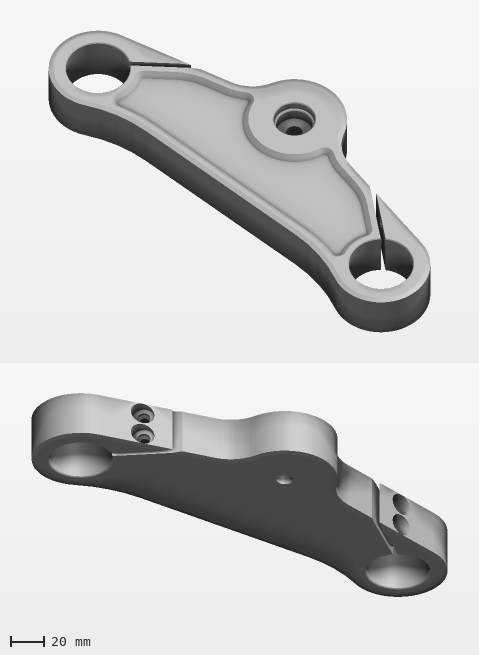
import cadquery as cq
import math

thickness = 30.0
top_z = thickness / 2
edge_bevel_width = 3.0
edge_bevel_height = 0.8

fork_x = 115.0
fork_radius = 30.0
fork_bore_radius = 19.5
bore_bevel = 0.5

stem_y = 49.5
boss_radius = 32.0
stem_hole_radius = 10.2 / 2
bearing_radius = 22.0 / 2
bearing_depth = 13.0
seat_radius = 25.2 / 2
seat_depth = 5.2

shoulder_angle = 12.9
shoulder_blend_radius = 26.7
bottom_y = -17.0
bottom_blend_radius = 91.4

slit_angle = 39.0
slit_width = 3.0
slit_offset = 4.4
slit_inner = slit_offset - slit_width / 2
slit_outer = slit_offset + slit_width / 2

screw_reach = 39.0
screw_z = 7.2
screw_clearance_radius = 8.0 / 2
screw_tap_radius = 6.7 / 2
screw_tap_depth = 20.3
screw_head_radius = 13.5 / 2
screw_seat_height = 1.7

pocket_depth = 3.0
pocket_wall_run = 3.62
pocket_rim = 5.5
pocket_boss_radius = 27.8
pocket_fork_radius = 23.2
pocket_slit_gap = 3.8
pocket_shoulder_radius = 43.5
pocket_corner_radius = 5.8

overshoot = 14.5


def unit(angle):
    """Unit vector at an angle in degrees."""
    return math.cos(math.radians(angle)), math.sin(math.radians(angle))


def along(start, direction, distance):
    """Point at a distance from start in a direction."""
    return start[0] + direction[0] * distance, start[1] + direction[1] * distance


def flip(point):
    """Mirror image of a point across the YZ plane."""
    return -point[0], point[1]


def both_sides(solid):
    """A left-hand solid joined with its mirror image."""
    return solid.union(solid.mirror("YZ"))


def disc(centre, radius, bottom, height):
    """Upright cylinder standing on Z = bottom."""
    return cq.Workplane("XY", origin=(*centre, bottom)).circle(radius).extrude(height)


def toward(start, end, distance):
    """Point at a distance from start on the way to end."""
    gap = math.dist(start, end)
    direction = ((end[0] - start[0]) / gap, (end[1] - start[1]) / gap)
    return along(start, direction, distance)


def arc_middle(centre, first, last, radius):
    """Middle point of the short arc between two points."""
    return toward(centre, ((first[0] + last[0]) / 2, (first[1] + last[1]) / 2), radius)


def outline_wire(inset=0.0):
    """Plate outline moved inwards by inset, every arc tangent to its neighbours."""
    fork_r = fork_radius - inset
    boss_r = boss_radius - inset
    shoulder_r = shoulder_blend_radius + inset
    bottom_r = bottom_blend_radius + inset
    normal = unit(shoulder_angle + 90)

    line_dir = unit(shoulder_angle)
    stem_along = fork_x * line_dir[0] + stem_y * line_dir[1]
    stem_above = fork_x * normal[0] + stem_y * normal[1]
    blend_above = fork_r + shoulder_r
    blend_along = stem_along - math.sqrt((boss_r + shoulder_r) ** 2 - (blend_above - stem_above) ** 2)
    shoulder_centre = along(along(fork, line_dir, blend_along), normal, blend_above)

    blend_y = bottom_y + inset - bottom_r
    bottom_centre = (math.sqrt((fork_r + bottom_r) ** 2 - blend_y ** 2) - fork_x, blend_y)

    bottom_end = (bottom_centre[0], bottom_y + inset)
    fork_low = toward(fork, bottom_centre, fork_r)
    bottom_mid = arc_middle(bottom_centre, bottom_end, fork_low, bottom_r)
    fork_mid = along(fork, unit(180), fork_r)
    fork_high = along(fork, normal, fork_r)
    shoulder_low = along(shoulder_centre, normal, -shoulder_r)
    shoulder_high = toward(shoulder_centre, stem, shoulder_r)
    shoulder_mid = arc_middle(shoulder_centre, shoulder_low, shoulder_high, shoulder_r)
    boss_top = (0, stem_y + boss_r)

    return (
        cq.Workplane("XY")
        .moveTo(*bottom_end)
        .threePointArc(bottom_mid, fork_low)
        .threePointArc(fork_mid, fork_high)
        .lineTo(*shoulder_low)
        .threePointArc(shoulder_mid, shoulder_high)
        .threePointArc(boss_top, flip(shoulder_high))
        .threePointArc(flip(shoulder_mid), flip(shoulder_low))
        .lineTo(*flip(fork_high))
        .threePointArc(flip(fork_mid), flip(fork_low))
        .threePointArc(flip(bottom_mid), flip(bottom_end))
        .close()
    )


def make_plate():
    """Solid plate with bevelled top and bottom edges."""
    plate = outline_wire().extrude(top_z, both=True)
    plate = plate.faces("<Z").chamfer(edge_bevel_height, edge_bevel_width)
    return plate.faces(">Z").chamfer(edge_bevel_height, edge_bevel_width)


def slit_band(near, far, length):
    """Block along the left slit, between two distances from the fork centre line."""
    return (
        cq.Workplane("XY")
        .center(length / 2, (near + far) / 2)
        .rect(length, far - near)
        .extrude(thickness, both=True)
        .rotate((0, 0, 0), (0, 0, 1), slit_angle)
        .translate((*fork, 0))
    )


def make_screw_hole(z):
    """Stepped clamp screw hole of the left fork, entered from the outer side of the slit."""
    seat = slit_outer + screw_seat_height
    axis = unit(slit_angle + 90)
    foot = along(fork, unit(slit_angle), screw_reach)

    def bore(radius, start, end):
        base = along(foot, axis, start)
        return cq.Workplane(cq.Solid.makeCylinder(
            radius, end - start, cq.Vector(*base, z), cq.Vector(*axis, 0)))

    tapped = bore(screw_tap_radius, slit_inner - screw_tap_depth, slit_inner)
    clearance = bore(screw_clearance_radius, slit_offset, seat)
    head = bore(screw_head_radius, seat, seat + overshoot)
    return tapped.union(clearance).union(head)


def mouth(centre, radius, bevel, z):
    """Cone that widens a bore by a bevel just below Z = z."""
    return cq.Workplane(cq.Solid.makeCone(
        radius, radius + bevel, bevel, cq.Vector(*centre, z - bevel), cq.Vector(0, 0, 1)))


def make_fork_bore():
    """Through bore of the left fork, bevelled at both ends."""
    upper_mouth = mouth(fork, fork_bore_radius, bore_bevel, top_z)
    lower_mouth = upper_mouth.mirror("XY")
    return disc(fork, fork_bore_radius, -top_z, thickness).union(upper_mouth).union(lower_mouth)


def make_stem_hole():
    """Through hole with a bearing bore and a wider seat above it, both bevelled at the mouth."""
    hole = disc(stem, stem_hole_radius, -top_z, thickness)
    bearing = disc(stem, bearing_radius, top_z - bearing_depth, bearing_depth)
    seat = disc(stem, seat_radius, top_z - seat_depth, seat_depth)
    bearing_mouth = mouth(stem, bearing_radius, bore_bevel, top_z - seat_depth)
    seat_mouth = mouth(stem, seat_radius, bore_bevel, top_z)
    return hole.union(bearing).union(seat).union(bearing_mouth).union(seat_mouth)


def make_pocket():
    """Pocket that keeps a rim along the outline, the boss, the forks and the slits."""
    slit_wall = slit_inner - pocket_slit_gap
    pocket = outline_wire(pocket_rim).extrude(thickness)
    pocket = pocket.cut(both_sides(slit_band(slit_wall, slit_wall + fork_x, 2 * fork_x)))

    bend_angle = math.radians(slit_angle - shoulder_angle)
    shoulder_wall = fork_radius - pocket_rim
    bend_along = (slit_wall * math.cos(bend_angle) - shoulder_wall) / math.sin(bend_angle)
    bend = along(along(fork, unit(shoulder_angle), -bend_along), unit(shoulder_angle + 90), shoulder_wall)
    for x, y in (bend, flip(bend)):
        bend_edge = pocket.edges(cq.NearestToPointSelector((x, y, thickness / 2)))
        pocket = bend_edge.fillet(pocket_shoulder_radius)

    pocket = pocket.cut(disc(stem, pocket_boss_radius, 0, thickness))
    pocket = pocket.cut(both_sides(disc(fork, pocket_fork_radius, 0, thickness)))

    shrunk = pocket.faces("<Z").wires().toPending().offset2D(-pocket_corner_radius)
    core = shrunk.extrude(thickness, combine=False)
    rounded = core.faces("<Z").wires().toPending().offset2D(pocket_corner_radius)
    cutter = rounded.extrude(thickness, combine=False)
    return cutter.faces("<Z").chamfer(pocket_depth, pocket_wall_run).translate((0, 0, top_z - pocket_depth))


fork = (-fork_x, 0)
stem = (0, stem_y)

result = make_plate()
result = result.cut(both_sides(slit_band(slit_inner, slit_outer, fork_x)))
result = result.cut(both_sides(make_fork_bore()))
for screw_height in (-screw_z, screw_z):
    result = result.cut(both_sides(make_screw_hole(screw_height)))
result = result.cut(make_stem_hole())
result = result.cut(make_pocket())